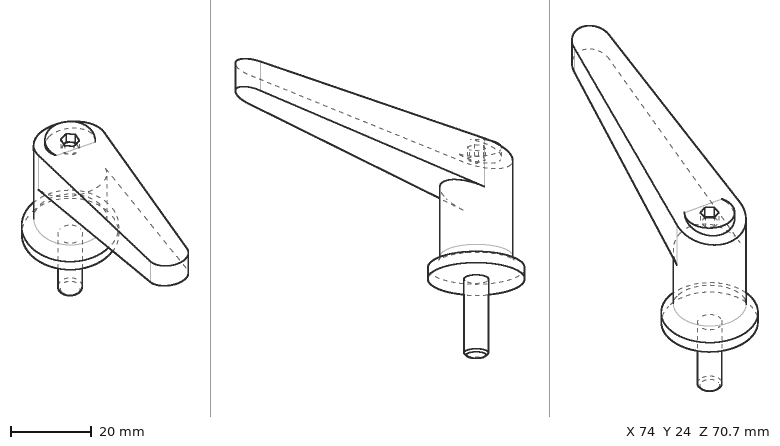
import cadquery as cq
import math

overall_length = 74.0
flange_radius = 12.0
flange_thickness = 2.95
hub_radius = 9.0
stud_radius = 3.0
stud_length = 20.0
stud_chamfer = 0.6

lever_tip_radius = 5.0
lever_top_height = 50.7
lever_end_height = 7.25
lever_top_angle = 15.4
lever_bottom_angle = 20.0

screw_radius = 6.2
screw_top = 34.5
hex_across_flats = 4.0
hex_depth = 2.95
drill_point_angle = 120.0

fillet_radius = flange_radius - hub_radius
lever_tip_x = overall_length - flange_radius
top_slope = math.tan(math.radians(lever_top_angle))
bottom_slope = math.tan(math.radians(lever_bottom_angle))


def top_z(x):
    """Height of the sloping top plane."""
    return lever_top_height - (lever_tip_x - x) * top_slope


def bottom_z(x):
    """Height of the sloping lever underside."""
    return lever_top_height - lever_end_height - (lever_tip_x - x) * bottom_slope


def make_hub():
    """Flanged column with a concave foot, cut off by the sloping top plane."""
    fillet_top = flange_thickness + fillet_radius
    arc_offset = fillet_radius * (1 - math.sqrt(0.5))
    column = (
        cq.Workplane("XZ")
        .lineTo(flange_radius, 0)
        .lineTo(flange_radius, flange_thickness)
        .threePointArc(
            (hub_radius + arc_offset, flange_thickness + arc_offset),
            (hub_radius, fillet_top),
        )
        .lineTo(hub_radius, lever_top_height)
        .lineTo(0, lever_top_height)
        .close()
        .revolve(360, (0, 0), (0, 1))
    )
    below_top = (
        cq.Workplane("XZ")
        .moveTo(-flange_radius, 0)
        .lineTo(flange_radius, 0)
        .lineTo(flange_radius, top_z(flange_radius))
        .lineTo(-flange_radius, top_z(-flange_radius))
        .close()
        .extrude(flange_radius, both=True)
    )
    return column.intersect(below_top)


def make_lever():
    """Wedge-shaped side profile trimmed to a tapered, round-ended plan."""
    tip_center = lever_tip_x - lever_tip_radius
    taper_sine = (hub_radius - lever_tip_radius) / tip_center
    taper_cosine = math.sqrt(1 - taper_sine**2)
    hub_x = hub_radius * taper_sine
    hub_y = hub_radius * taper_cosine
    tip_x = tip_center + lever_tip_radius * taper_sine
    tip_y = lever_tip_radius * taper_cosine
    plan = (
        cq.Workplane("XY")
        .moveTo(hub_x, -hub_y)
        .lineTo(tip_x, -tip_y)
        .threePointArc((lever_tip_x, 0), (tip_x, tip_y))
        .lineTo(hub_x, hub_y)
        .close()
        .extrude(lever_top_height)
    )
    side = (
        cq.Workplane("XZ")
        .moveTo(0, bottom_z(0))
        .lineTo(lever_tip_x, bottom_z(lever_tip_x))
        .lineTo(lever_tip_x, top_z(lever_tip_x))
        .lineTo(0, top_z(0))
        .close()
        .extrude(hub_radius, both=True)
    )
    return plan.intersect(side)


def make_stud():
    """Plain stud below the flange with a chamfered end."""
    return (
        cq.Workplane("XY")
        .circle(stud_radius)
        .extrude(-stud_length)
        .faces("<Z")
        .chamfer(stud_chamfer)
    )


def make_screw_head():
    """Flat-topped screw body, its head partly sunk into the sloping top."""
    return cq.Workplane("XY").circle(screw_radius).extrude(screw_top)


def make_socket():
    """Hexagonal socket with corners along X and a conical bottom."""
    socket_floor = screw_top - hex_depth
    hex_across_corners = hex_across_flats / math.cos(math.radians(30))
    inner_radius = hex_across_flats / 2
    cone_depth = inner_radius / math.tan(math.radians(drill_point_angle / 2))
    hexagon = (
        cq.Workplane("XY")
        .workplane(offset=socket_floor)
        .polygon(6, hex_across_corners)
        .extrude(hex_depth)
    )
    cone = (
        cq.Workplane("XZ")
        .moveTo(0, socket_floor)
        .lineTo(inner_radius, socket_floor)
        .lineTo(0, socket_floor - cone_depth)
        .close()
        .revolve(360, (0, socket_floor), (0, socket_floor + 0.75))
    )
    return hexagon.union(cone)


body = make_hub().union(make_lever()).union(make_stud()).union(make_screw_head())
result = body.cut(make_socket())